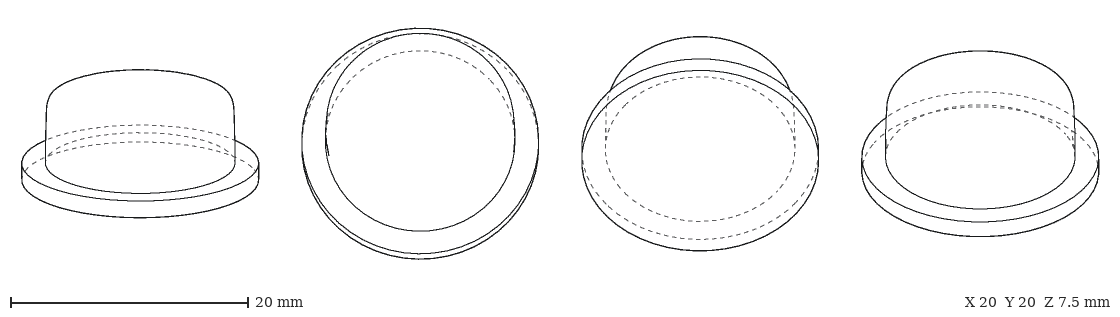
import cadquery as cq

flange_diameter = 20.0
flange_thickness = 1.5

cap_diameter = 16.0
cap_height = 6.0

flank_inset, flank_drop = 0.015, 3.6
side_inset, side_drop = 0.05, 1.8
lower_inset, lower_drop = 0.15, 0.8
corner_inset, corner_drop = 0.4, 0.28
upper_inset, upper_drop = 1.0, 0.12
rim_inset, rim_drop = 2.0, 0.07
crown_inset, crown_drop = 4.0, 0.025

flange_radius = flange_diameter / 2
cap_radius = cap_diameter / 2
top_height = flange_thickness + cap_height


def cap_point(inset, drop):
    """Point of the cap profile, measured from its side and top."""
    return (cap_radius - inset, top_height - drop)


cap_curve = [
    cap_point(flank_inset, flank_drop),
    cap_point(side_inset, side_drop),
    cap_point(lower_inset, lower_drop),
    cap_point(corner_inset, corner_drop),
    cap_point(upper_inset, upper_drop),
    cap_point(rim_inset, rim_drop),
    cap_point(crown_inset, crown_drop),
    (0, top_height),
]

half_section = (
    cq.Workplane("XZ")
    .lineTo(flange_radius, 0)
    .lineTo(flange_radius, flange_thickness)
    .lineTo(cap_radius, flange_thickness)
    .spline(cap_curve, tangents=[(0, 1), (-1, 0)], includeCurrent=True)
    .close()
)

result = half_section.revolve(360, (0, 0, 0), (0, 1, 0))